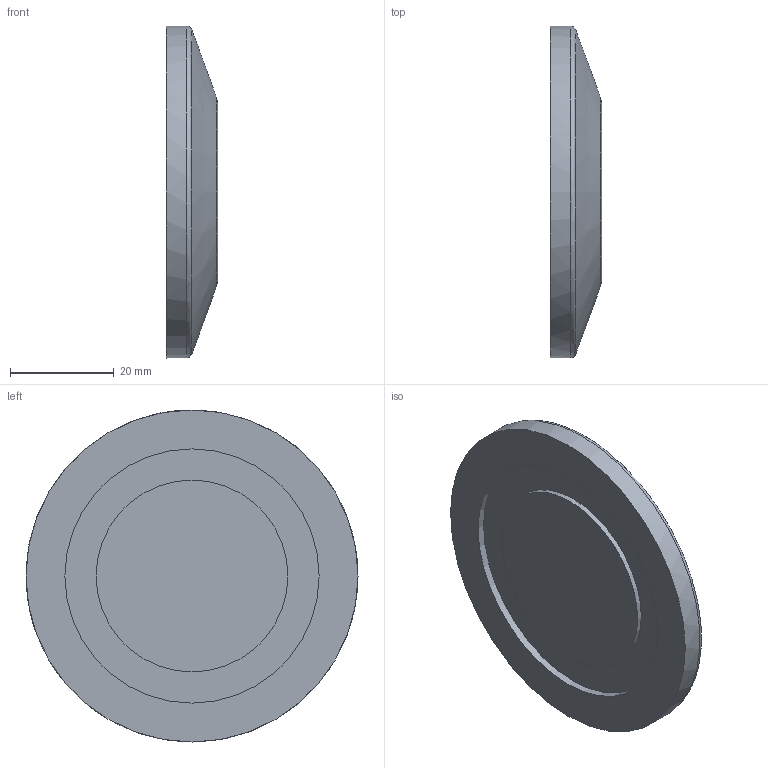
import cadquery as cq
import math

outer_radius = 32.0
thickness = 10.0
rim_length = 4.0

cone_angle = math.radians(20.0)
rim_fillet = 1.0
front_fillet = 5.0

recess_radius = 24.5
recess_depth = 1.5
pad_radius = 18.5
pad_setback = 0.5
pad_height = recess_depth - pad_setback

rim_turn = math.pi / 2 - cone_angle
rim_corner_x = rim_length + rim_fillet * math.tan(rim_turn / 2)
front_corner_radius = outer_radius - (thickness - rim_corner_x) / math.tan(cone_angle)


def turned_body():
    """Revolve the sharp half profile, then round the two front edges."""
    profile = (
        cq.Workplane("XZ")
        .polyline([
            (0, 0),
            (0, outer_radius),
            (rim_corner_x, outer_radius),
            (thickness, front_corner_radius),
            (thickness, 0),
        ])
        .close()
    )
    body = profile.revolve(360, (0, 0, 0), (1, 0, 0))
    body = body.faces(">X").edges().fillet(front_fillet)
    return body.faces("%CONE").edges("<X").fillet(rim_fillet)


def back_disc(radius, start_depth, length):
    """Disc on the axis, starting at a depth below the back face and going inward."""
    return cq.Workplane("YZ", origin=(start_depth, 0, 0)).circle(radius).extrude(length)


recess = back_disc(recess_radius, 0, recess_depth)
pad = back_disc(pad_radius, pad_setback, pad_height)

result = turned_body().cut(recess.cut(pad))